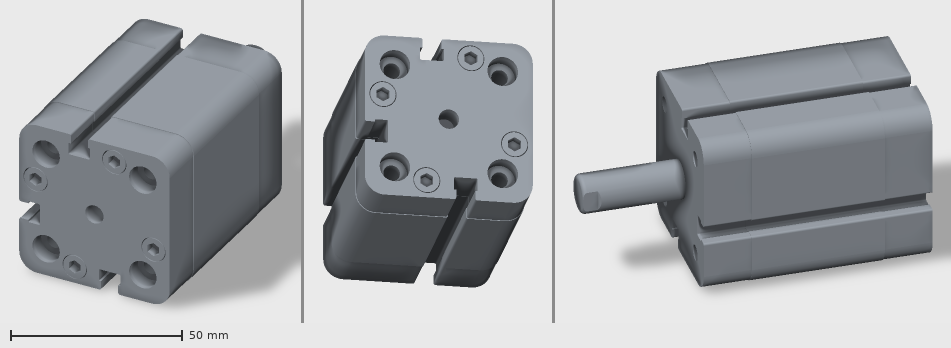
import cadquery as cq
import math

total_length = 100.5
rod_reach = 31.0
body_length = total_length - rod_reach
body_side = 50.1
body_half = body_side / 2
corner_radius = 6.0
front_y = -total_length / 2
back_y = front_y + body_length

cap_length = 14.6
tube_length = body_length - 2 * cap_length
cap_inset = 0.2
cap_slot_clearance = 0.1

slot_offset = 5.0
neck_width = 5.4
lip_depth = 3.3
channel_width = 6.8
slot_depth = 6.9
mouth_radius = 0.6
channel_corner_radius = 0.4
slot_angles = (0, -90, 180)

mount_offset = 16.0
mount_diameter = 4.9
mount_bore_diameter = 9.0
mount_bore_depth = 5.4

screw_offset_long = 19.5
screw_offset_short = 6.5
screw_recess_diameter = 8.0
screw_head_diameter = 7.5
screw_head_height = 4.0
hex_flats = 3.8
hex_depth = 3.0
hex_turn = 30

center_hole_diameter = 6.0
center_hole_depth = 8.0

rod_diameter = 12.0
rod_tip_radius = 1.3
flat_spacing = 10.2
flat_length = 4.5


def front_plane(depth=0.0):
    """Sketch plane parallel to the front face, with +X right, +Z up and normal -Y."""
    return cq.Workplane("XZ", origin=(0, front_y + depth, 0))


def slot_cutter(start, length, inset, clearance):
    """T-slot opening on the +Z side, with its mouth edges rounded over."""
    top_z = body_half - inset
    neck = neck_width / 2 + clearance
    channel = channel_width / 2 + clearance
    mouth = neck + mouth_radius
    ledge_z = body_half - lip_depth + clearance
    floor_z = body_half - slot_depth - clearance
    bend = mouth_radius * (1 - math.sqrt(0.5))
    profile = (
        front_plane(start)
        .moveTo(-mouth, top_z)
        .threePointArc((-neck - bend, top_z - bend), (-neck, top_z - mouth_radius))
        .lineTo(-neck, ledge_z)
        .lineTo(-channel, ledge_z)
        .lineTo(-channel, floor_z)
        .lineTo(channel, floor_z)
        .lineTo(channel, ledge_z)
        .lineTo(neck, ledge_z)
        .lineTo(neck, top_z - mouth_radius)
        .threePointArc((neck + bend, top_z - bend), (mouth, top_z))
        .close()
    )
    cutter = profile.extrude(-length)
    cutter = cutter.faces("<Z").edges("|Y").fillet(channel_corner_radius)
    return cutter.translate((-slot_offset, 0, 0))


def body_section(start, length, inset, clearance):
    """Slotted square length of the body, with its outline set in and its slots widened."""
    side = body_side - 2 * inset
    section = front_plane(start).rect(side, side).extrude(-length)
    section = section.edges("|Y").fillet(corner_radius - inset)
    slot = slot_cutter(start, length, inset, clearance)
    for angle in slot_angles:
        section = section.cut(slot.rotate((0, 0, 0), (0, 1, 0), angle))
    return section


def body():
    front_cap = body_section(0, cap_length, cap_inset, cap_slot_clearance)
    tube = body_section(cap_length, tube_length, 0, 0)
    back_start = cap_length + tube_length
    back_cap = body_section(back_start, cap_length, cap_inset, cap_slot_clearance)
    return front_cap.union(tube).union(back_cap)


def mounting_holes():
    corners = [(x, z) for x in (-mount_offset, mount_offset) for z in (-mount_offset, mount_offset)]
    through = front_plane().pushPoints(corners).circle(mount_diameter / 2).extrude(-body_length)
    bores = front_plane().pushPoints(corners).circle(mount_bore_diameter / 2).extrude(-mount_bore_depth)
    return through.union(bores)


def screw_gaps():
    """Ring gap around each screw head, and the hex socket in it."""
    far, near = screw_offset_long, screw_offset_short
    centers = [(near, far), (far, -near), (-near, -far), (-far, near)]
    gaps = (
        front_plane().pushPoints(centers)
        .circle(screw_recess_diameter / 2).circle(screw_head_diameter / 2)
        .extrude(-screw_head_height)
    )
    hex_corner_diameter = hex_flats / math.cos(math.pi / 6)
    socket = front_plane().polygon(6, hex_corner_diameter).extrude(-hex_depth)
    socket = socket.rotate((0, 0, 0), (0, 1, 0), hex_turn)
    for x, z in centers:
        gaps = gaps.union(socket.translate((x, 0, z)))
    return gaps


def center_hole():
    return front_plane().circle(center_hole_diameter / 2).extrude(-center_hole_depth)


def piston_rod():
    """Rod with a rounded tip and two wrench flats that run out at 45 degrees."""
    rod_radius = rod_diameter / 2
    rod = front_plane(body_length).circle(rod_radius).extrude(-rod_reach)
    rod = rod.faces(">Y").edges().fillet(rod_tip_radius)
    tip_y = back_y + rod_reach
    flat_x = flat_spacing / 2
    runout = rod_radius - flat_x
    flat_cutter = (
        cq.Workplane("XY")
        .moveTo(flat_x, tip_y)
        .lineTo(flat_x, tip_y - flat_length)
        .lineTo(flat_x + runout, tip_y - flat_length - runout)
        .lineTo(flat_x + runout, tip_y)
        .close()
        .extrude(rod_radius, both=True)
    )
    return rod.cut(flat_cutter).cut(flat_cutter.mirror("YZ"))


result = body().cut(mounting_holes()).cut(screw_gaps()).cut(center_hole()).union(piston_rod())